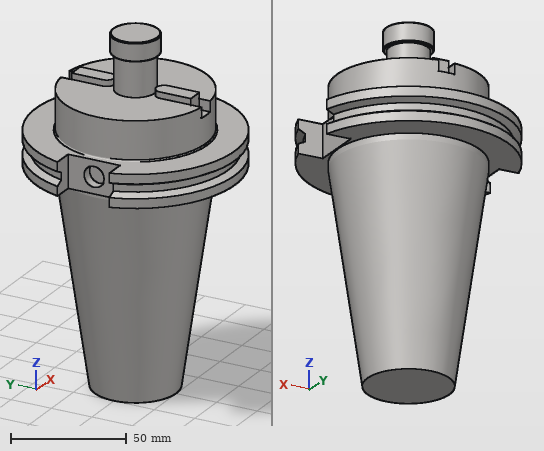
import cadquery as cq
import math

total_height = 166.5
gauge_z = 101.6
flange_bottom_z = 104.6
flange_top_z = 120.7
boss_top_z = 139.9
head_bottom_z = 157.4

gauge_radius = 35.0
taper_slope = 7 / 48
tip_radius = gauge_radius - gauge_z * taper_slope
flange_radius = 49.22
groove_radius = 45.8
groove_floor_height = 3.5
groove_mouth_height = 7.0
groove_mid_z = (flange_bottom_z + flange_top_z) / 2
boss_radius = 35.0
boss_fillet = 0.7
stud_radius = 9.5
head_radius = 11.2
head_chamfer = 0.5

drive_slot_width = 25.6
left_slot_x = -37.8
right_slot_x = 35.5
dimple_radius = 4.91
dimple_depth = 5.0

key_width = 7.8
key_height = 8.2
key_inner_y = 10.3
key_outer_y = 29.5
keyway_floor_z = 134.7


def make_round_holder():
    """Taper, grooved flange, boss and headed stud turned about Z."""
    floor = groove_floor_height / 2
    mouth = groove_mouth_height / 2
    profile = (
        cq.Workplane("XZ")
        .moveTo(0, 0)
        .lineTo(tip_radius, 0)
        .lineTo(gauge_radius, gauge_z)
        .lineTo(gauge_radius, flange_bottom_z)
        .lineTo(flange_radius, flange_bottom_z)
        .lineTo(flange_radius, groove_mid_z - mouth)
        .lineTo(groove_radius, groove_mid_z - floor)
        .lineTo(groove_radius, groove_mid_z + floor)
        .lineTo(flange_radius, groove_mid_z + mouth)
        .lineTo(flange_radius, flange_top_z)
        .lineTo(boss_radius + boss_fillet, flange_top_z)
        .radiusArc((boss_radius, flange_top_z + boss_fillet), boss_fillet)
        .lineTo(boss_radius, boss_top_z)
        .lineTo(stud_radius, boss_top_z)
        .lineTo(stud_radius, head_bottom_z)
        .lineTo(head_radius - head_chamfer, head_bottom_z)
        .lineTo(head_radius, head_bottom_z + head_chamfer)
        .lineTo(head_radius, total_height - head_chamfer)
        .lineTo(head_radius - head_chamfer, total_height)
        .lineTo(0, total_height)
        .close()
    )
    return profile.revolve(360, (0, 0, 0), (0, 1, 0))


def make_drive_slot(floor_x):
    """Cutter running outward from a flat slot floor, over the flange height."""
    reach = math.copysign(flange_radius, floor_x)
    return (
        cq.Workplane("XY", origin=(0, 0, flange_bottom_z))
        .center((floor_x + reach) / 2, 0)
        .rect(abs(reach - floor_x), drive_slot_width)
        .extrude(flange_top_z - flange_bottom_z)
    )


def make_dimple():
    """Blind round hole in the floor of the left drive slot."""
    return (
        cq.Workplane("YZ", origin=(left_slot_x, 0, groove_mid_z))
        .circle(dimple_radius)
        .extrude(dimple_depth)
    )


def make_round_ended_bar(outer_y, side):
    """Bar along Y with a round inner end; side is +1 or -1."""
    half_width = key_width / 2
    straight_y = side * (key_inner_y + half_width)
    return (
        cq.Workplane("XY", origin=(0, 0, keyway_floor_z))
        .moveTo(-half_width, side * outer_y)
        .lineTo(-half_width, straight_y)
        .threePointArc((0, side * key_inner_y), (half_width, straight_y))
        .lineTo(half_width, side * outer_y)
        .close()
        .extrude(key_height)
    )


def make_key(side):
    return make_round_ended_bar(key_outer_y, side)


def make_keyway(side):
    """Key-shaped cutter that runs out through the side of the boss."""
    return make_round_ended_bar(flange_radius, side)


holder = make_round_holder()
for slot_x in (left_slot_x, right_slot_x):
    holder = holder.cut(make_drive_slot(slot_x))
holder = holder.cut(make_dimple())

keys = []
for key_side in (-1, 1):
    holder = holder.cut(make_keyway(key_side))
    keys.append(make_key(key_side).val())

result = cq.Compound.makeCompound([holder.val(), *keys])